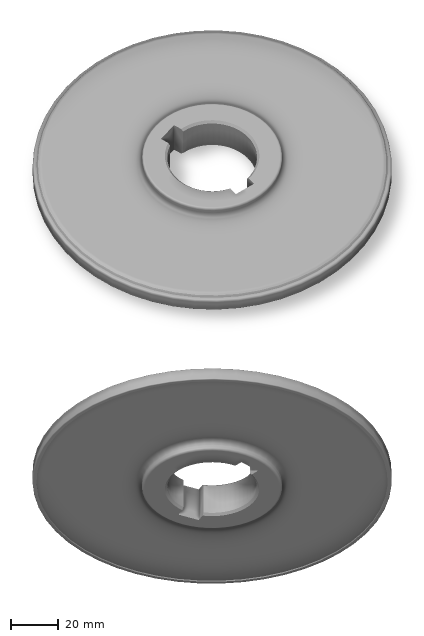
import cadquery as cq
import math

hub_height = 15.88
hub_radius = 59.48 / 2
hub_edge_radius = 1.0
hub_root_radius = 2.0
bore_radius = 38.1 / 2
bore_chamfer = 1.0

keyway_width = 9.525
keyway_reach = 23.2
keyway_angles = (0, 198)

disc_thickness = 6.88
disc_top = disc_thickness / 2
shoulder_start = 72.29
cone_start = 73.22
lip_radius = 73.93
cone_angle = 29.0

rim_radius = 152.44 / 2
rim_inner_radius = 149.07 / 2
rim_bottom = -4.0
rim_top_edge_radius = 0.97
rim_bottom_edge_radius = 0.4
land_outer_height = 1.95
land_angle = 2.3


def drop(width, angle):
    """Fall of a slope of the given width, at an angle below the horizontal."""
    return width * math.tan(math.radians(angle))


land_end = rim_radius - rim_top_edge_radius
land_inner_height = land_outer_height + drop(land_end - rim_inner_radius, land_angle)


def revolve(profile):
    return profile.close().revolve(360, (0, 0, 0), (0, 1, 0))


def keyway(angle):
    slot = cq.Workplane("XY").box(keyway_reach, keyway_width, hub_height, centered=(False, True, True))
    return slot.rotate((0, 0, 0), (0, 0, 1), angle)


def make_wheel():
    hub_top = hub_height / 2
    root_end = hub_radius + hub_root_radius
    root_height = disc_top + hub_root_radius
    hub_face_edge = hub_radius - hub_edge_radius
    hub_side_end = hub_top - hub_edge_radius
    chamfer_edge = bore_radius + bore_chamfer
    cone_top = disc_top - drop(cone_start - shoulder_start, cone_angle / 2)
    lip_height = cone_top - drop(lip_radius - cone_start, cone_angle)
    profile = (
        cq.Workplane("XZ")
        .moveTo(bore_radius, -hub_top + bore_chamfer)
        .lineTo(bore_radius, hub_top - bore_chamfer)
        .lineTo(chamfer_edge, hub_top)
        .lineTo(hub_face_edge, hub_top)
        .radiusArc((hub_radius, hub_side_end), hub_edge_radius)
        .lineTo(hub_radius, root_height)
        .radiusArc((root_end, disc_top), -hub_root_radius)
        .lineTo(shoulder_start, disc_top)
        .tangentArcPoint((cone_start, cone_top), relative=False)
        .lineTo(lip_radius, lip_height)
        .lineTo(rim_inner_radius, land_inner_height)
        .lineTo(rim_inner_radius, -disc_top)
        .lineTo(root_end, -disc_top)
        .radiusArc((hub_radius, -root_height), -hub_root_radius)
        .lineTo(hub_radius, -hub_side_end)
        .radiusArc((hub_face_edge, -hub_top), hub_edge_radius)
        .lineTo(chamfer_edge, -hub_top)
    )
    wheel = revolve(profile)
    for angle in keyway_angles:
        wheel = wheel.cut(keyway(angle))
    return wheel


def make_rim():
    profile = (
        cq.Workplane("XZ")
        .moveTo(rim_inner_radius, rim_bottom)
        .lineTo(rim_inner_radius, land_inner_height)
        .lineTo(land_end, land_outer_height)
        .radiusArc((rim_radius, land_outer_height - rim_top_edge_radius), rim_top_edge_radius)
        .lineTo(rim_radius, rim_bottom + rim_bottom_edge_radius)
        .radiusArc((rim_radius - rim_bottom_edge_radius, rim_bottom), rim_bottom_edge_radius)
    )
    return revolve(profile)


wheel = make_wheel()
rim = make_rim()
result = cq.Compound.makeCompound([wheel.val(), rim.val()])